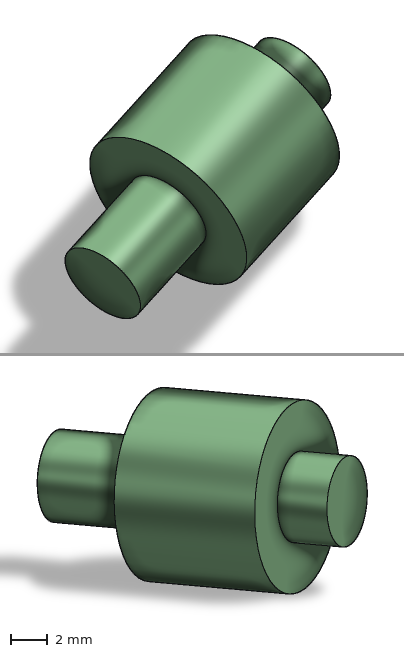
import cadquery as cq

body_diameter = 10.6
body_length = 8.5
front_pin_diameter = 5.1
front_pin_length = 6.0
rear_pin_diameter = 5.0
rear_pin_length = 3.0

body_front_y = 0.0
body_rear_y = body_front_y + body_length
front_pin_end_y = body_front_y - front_pin_length


def cylinder_along_y(diameter, start_y, length):
    """Round bar on the Y axis, running from start_y toward +Y, with its seam on top."""
    base_plane = cq.Plane(origin=(0, start_y, 0), xDir=(0, 0, 1), normal=(0, 1, 0))
    return cq.Workplane(base_plane).circle(diameter / 2).extrude(length)


front_pin = cylinder_along_y(front_pin_diameter, front_pin_end_y, front_pin_length)
body = cylinder_along_y(body_diameter, body_front_y, body_length)
rear_pin = cylinder_along_y(rear_pin_diameter, body_rear_y, rear_pin_length)

result = body.union(front_pin).union(rear_pin)